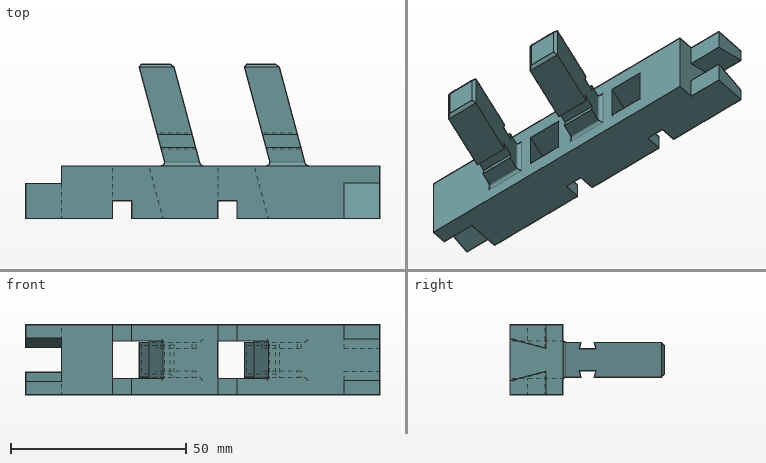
import cadquery as cq
import math

bar_length = 101.0
bar_depth = 15.0
bar_height = 20.0

joint_length = 10.2
joint_depth = 10.0
tongue_depth = 10.2
socket_front_width = 12.3
socket_back_width = 7.0
joint_clearance = 0.4

pitch = 30.0
station_count = 2
lean = math.tan(math.radians(15))

opening_left = 24.8
opening_front_width = 14.3
opening_height = 10.6
relief_width = 5.4
relief_depth = 5.0

peg_left = 39.9
peg_width = 10.0
peg_height = 10.0
peg_reach = 29.0
tip_chamfer = 0.9
root_fillet = 1.0

groove_center = bar_depth + 7.1
groove_mouth = 3.7
groove_floor = 4.6
groove_depth = 1.8


def vertical_prism(points, height):
    """Extrude an XY outline symmetrically about mid-height."""
    return cq.Workplane("XY").polyline(points).close().extrude(height / 2, both=True)


def dovetail(x_start, depth, front_width, back_width):
    """Joint-length dovetail along X, widest at the front face."""
    outline = [
        (0, -front_width / 2),
        (depth, -back_width / 2),
        (depth, back_width / 2),
        (0, front_width / 2),
    ]
    section = cq.Workplane("YZ", origin=(x_start, 0, 0)).polyline(outline).close()
    return section.extrude(joint_length)


def make_bar():
    outline = [
        (0, 0),
        (bar_length, 0),
        (bar_length, bar_depth),
        (joint_length, bar_depth),
        (joint_length, joint_depth),
        (0, joint_depth),
    ]
    bar = vertical_prism(outline, bar_height)
    bar = bar.cut(dovetail(0, joint_depth, socket_front_width, socket_back_width))

    tongue_start = bar_length - joint_length
    tongue = dovetail(
        tongue_start,
        tongue_depth,
        socket_front_width - joint_clearance,
        socket_back_width - joint_clearance,
    )
    tongue_space = cq.Workplane("XY").box(
        joint_length, tongue_depth, bar_height, centered=(False, False, True)
    ).translate((tongue_start, 0, 0))
    return bar.cut(tongue_space.cut(tongue))


def make_opening(offset):
    """Opening with a square left wall and a right wall parallel to the pegs."""
    left = opening_left + offset
    right = left + opening_front_width
    outline = [
        (left, 0),
        (right, 0),
        (right - lean * bar_depth, bar_depth),
        (left, bar_depth),
    ]
    window = vertical_prism(outline, opening_height)
    relief = cq.Workplane("XY").box(
        relief_width, relief_depth, bar_height, centered=(False, False, True)
    ).translate((left, 0, 0))
    return window.union(relief)


def make_peg(offset):
    left = peg_left + offset
    shift = lean * peg_reach
    tip = bar_depth + peg_reach
    outline = [
        (left, bar_depth),
        (left + peg_width, bar_depth),
        (left + peg_width - shift, tip),
        (left - shift, tip),
    ]
    return vertical_prism(outline, peg_height).faces(">Y").chamfer(tip_chamfer)


def make_groove(side):
    """Undercut groove along X; side is 1 for the upper faces, -1 for the lower."""
    surface = side * peg_height / 2
    floor = surface - side * groove_depth
    outline = [
        (groove_center - groove_mouth / 2, surface),
        (groove_center + groove_mouth / 2, surface),
        (groove_center + groove_floor / 2, floor),
        (groove_center - groove_floor / 2, floor),
    ]
    return cq.Workplane("YZ").polyline(outline).close().extrude(bar_length)


result = make_bar()
for station in range(station_count):
    station_offset = station * pitch
    result = result.cut(make_opening(station_offset))
    result = result.union(make_peg(station_offset))

    root_zone = cq.selectors.BoxSelector(
        (peg_left + station_offset - root_fillet, bar_depth - root_fillet, -peg_height),
        (peg_left + station_offset + peg_width + root_fillet, bar_depth + root_fillet, peg_height),
    )
    result = result.edges(root_zone).fillet(root_fillet)

for groove_side in (1, -1):
    result = result.cut(make_groove(groove_side))